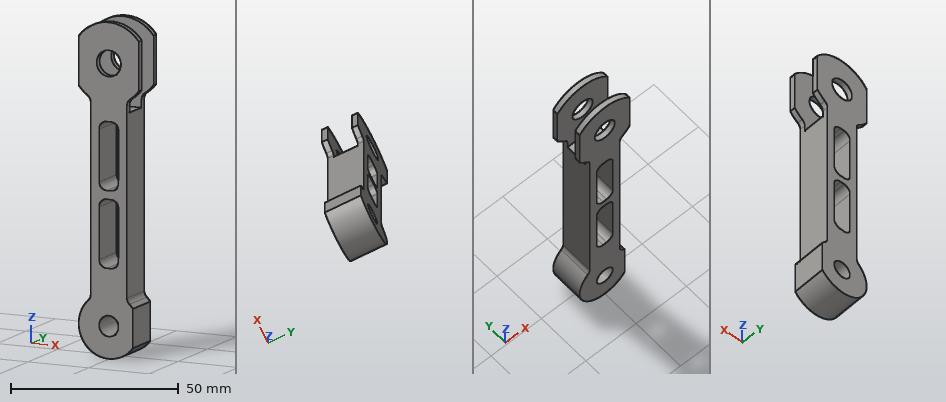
import cadquery as cq

height = 102.4
width = 20.0
thickness = 12.0
shank_width = 12.0

eye_radius = width / 2
eye_z = eye_radius
eye_flat_x = 8.0
eye_hole_diameter = 6.4
eye_fillet = 2.5

fork_radius = 12.5
fork_z = height - fork_radius
fork_hole_diameter = 8.0
fork_fillet = 2.5
fork_gap = 8.0
fork_gap_floor_z = 75.2

window_width = 6.4
window_height = 21.0
window_corner_radius = 2.5
window_web = 2.7
window_middle_z = 49.9


def disc(radius, z):
    """Cylinder along Y, centred on the link's thickness."""
    return cq.Workplane("XZ").center(0, z).circle(radius).extrude(thickness / 2, both=True)


def block(x_min, x_max, y_size, z_min, z_max):
    """Box centred on Y = 0."""
    return (
        cq.Workplane("XY")
        .box(x_max - x_min, y_size, z_max - z_min)
        .translate(((x_min + x_max) / 2, 0, (z_min + z_max) / 2))
    )


def make_body():
    """Shank joined to both trimmed eyes, with filleted necks."""
    eye = disc(eye_radius, eye_z).intersect(
        block(-eye_radius, eye_flat_x, thickness, 0, height)
    )
    fork = disc(fork_radius, fork_z).intersect(
        block(-width / 2, width / 2, thickness, 0, height)
    )
    shank = block(-shank_width / 2, shank_width / 2, thickness, eye_z, fork_z)
    body = shank.union(eye).union(fork)

    half_shank = shank_width / 2
    eye_neck_z = eye_z + (eye_radius**2 - half_shank**2) ** 0.5
    fork_neck_z = fork_z - (fork_radius**2 - half_shank**2) ** 0.5
    for neck_z, fillet in ((eye_neck_z, eye_fillet), (fork_neck_z, fork_fillet)):
        for x in (-half_shank, half_shank):
            neck = cq.selectors.NearestToPointSelector((x, 0, neck_z))
            body = body.edges("|Y").edges(neck).fillet(fillet)
    return body


def make_window(z):
    """Rounded rectangular cutter through the thickness."""
    return (
        block(-window_width / 2, window_width / 2, thickness,
              z - window_height / 2, z + window_height / 2)
        .edges("|Y")
        .fillet(window_corner_radius)
    )


result = make_body()

result = result.cut(block(-width / 2, width / 2, fork_gap, fork_gap_floor_z, height))

result = result.cut(disc(eye_hole_diameter / 2, eye_z))
result = result.cut(disc(fork_hole_diameter / 2, fork_z))

window_offset = (window_height + window_web) / 2
for side in (-1, 1):
    result = result.cut(make_window(window_middle_z + side * window_offset))